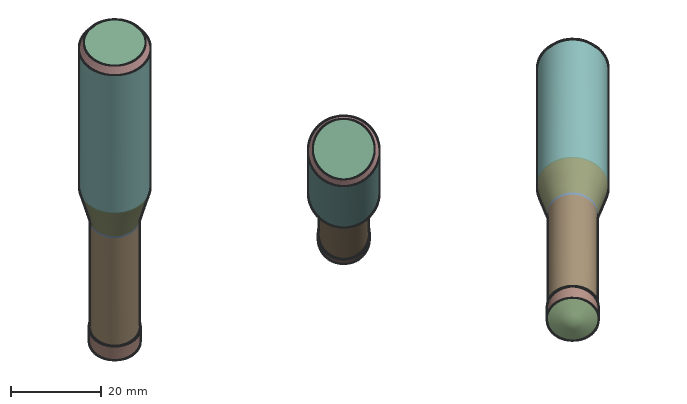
import cadquery as cq
import math

shank_diameter = 15.9
neck_diameter = 11.1
head_diameter = 11.5

total_length = 102.1
head_top = 6.7
taper_bottom = 43.1
taper_top = 53.8

point_angle = 140.0
chamfer_height = 1.9
chamfer_angle = 30.0
taper_top_round = 2.0
taper_bottom_round = 3.5

selection_margin = 0.1

shank_radius = shank_diameter / 2
neck_radius = neck_diameter / 2
head_radius = head_diameter / 2
point_height = head_radius / math.tan(math.radians(point_angle / 2))
chamfer_width = chamfer_height * math.tan(math.radians(chamfer_angle))


def revolve_about_z(profile_points):
    """Revolve a closed (radius, height) outline about the Z axis."""
    profile = cq.Workplane("XZ").polyline(profile_points).close()
    return profile.revolve(360, (0, 0, 0), (0, 1, 0))


def edge_circle_at(body, radius, height):
    """Select the circular edge with the given radius and height."""
    low_corner = (-radius - selection_margin, -radius - selection_margin, height - selection_margin)
    high_corner = (radius + selection_margin, radius + selection_margin, height + selection_margin)
    return body.edges(cq.selectors.BoxSelector(low_corner, high_corner, boundingbox=True))


def make_cutting_head():
    """Short cylinder ending in a conical drill point at the origin."""
    return revolve_about_z([
        (0, 0),
        (head_radius, point_height),
        (head_radius, head_top),
        (0, head_top),
    ])


def make_shank():
    """Neck, rounded taper and chamfered clamping cylinder, resting on the head."""
    body = revolve_about_z([
        (0, head_top),
        (neck_radius, head_top),
        (neck_radius, taper_bottom),
        (shank_radius, taper_top),
        (shank_radius, total_length - chamfer_height),
        (shank_radius - chamfer_width, total_length),
        (0, total_length),
    ])
    for radius, height, rounding in [
        (shank_radius, taper_top, taper_top_round),
        (neck_radius, taper_bottom, taper_bottom_round),
    ]:
        body = edge_circle_at(body, radius, height).fillet(rounding)
    return body


cutting_head = make_cutting_head()
shank = make_shank()

result = cq.Compound.makeCompound([cutting_head.val(), shank.val()])